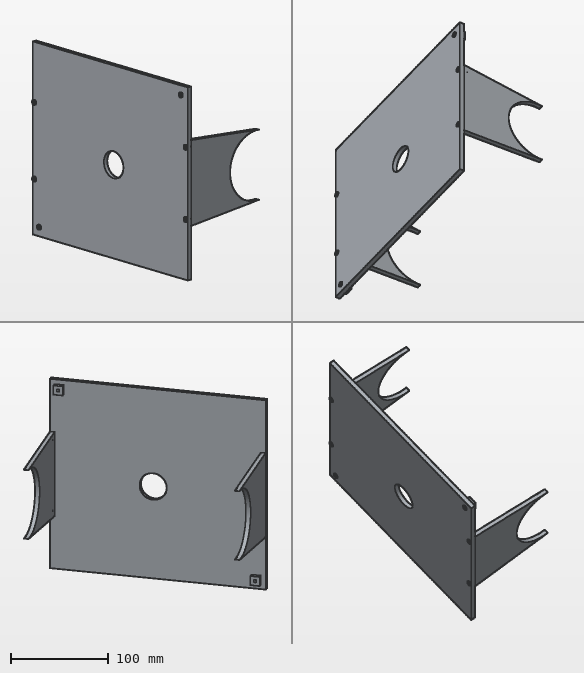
import cadquery as cq
import math

PLATE_WIDTH = 230.0
PLATE_HEIGHT = 206.0
SHEET = 5.0
WINDOW_DIAMETER = 28.8
WINDOW_X = 5.0
WINDOW_Z = -3.0

BLOCK_SIDE = 10.0
BLOCK_DEPTH = 4.8
BLOCK_X = PLATE_WIDTH / 2 - SHEET - BLOCK_SIDE / 2
BLOCK_Z = PLATE_HEIGHT / 2 - SHEET - BLOCK_SIDE / 2

HEAD_DIAMETER = 5.5
HEAD_HEIGHT = 0.8
SHANK_DIAMETER = 3.0
SHANK_LENGTH = SHEET + BLOCK_DEPTH
SOCKET_DIAMETER = 2.1
SOCKET_DEPTH = 1.0
EDGE_SCREW_X = PLATE_WIDTH / 2 - HEAD_DIAMETER / 2
UPPER_SCREW_Z = 38.6
LEFT_LOWER_SCREW_Z = -43.2
RIGHT_LOWER_SCREW_Z = -38.5

OVERALL_DEPTH = 101.7
WALL_REAR_Y = OVERALL_DEPTH - HEAD_HEIGHT
WALL_ROOT_HALF = 45.8
WALL_TIP_HALF = 37.5
CRADLE_RADIUS = 37.5
CRADLE_BOTTOM_Y = 60.0

BLOCK_PLACES = [(BLOCK_X, BLOCK_Z), (-BLOCK_X, -BLOCK_Z)]
LEFT_SCREW_PLACES = [(-EDGE_SCREW_X, UPPER_SCREW_Z), (-EDGE_SCREW_X, LEFT_LOWER_SCREW_Z)]
RIGHT_SCREW_PLACES = [(EDGE_SCREW_X, UPPER_SCREW_Z), (EDGE_SCREW_X, RIGHT_LOWER_SCREW_Z)]
SCREW_PLACES = BLOCK_PLACES + LEFT_SCREW_PLACES + RIGHT_SCREW_PLACES


def upright_plane(y):
    """Workplane at depth y: local axes along +X and +Z, positive extrusion towards -Y (forward)."""
    return cq.Workplane("XZ", origin=(0, y, 0))


def shank_holes(places):
    """Cylinders that clear the screw shanks, running rearward from the plate's front face."""
    return upright_plane(0).pushPoints(places).circle(SHANK_DIAMETER / 2).extrude(-SHANK_LENGTH)


def make_plate():
    """Plate with its round window, the two screw blocks and all the screw holes."""
    plate = upright_plane(0).rect(PLATE_WIDTH, PLATE_HEIGHT).extrude(-SHEET)
    window = upright_plane(0).center(WINDOW_X, WINDOW_Z).circle(WINDOW_DIAMETER / 2).extrude(-SHEET)
    blocks = upright_plane(SHEET).pushPoints(BLOCK_PLACES).rect(BLOCK_SIDE, BLOCK_SIDE).extrude(-BLOCK_DEPTH)
    return plate.cut(window).union(blocks).cut(shank_holes(SCREW_PLACES))


def make_wall(low_x, screw_places):
    """Side wall whose -X face lies at low_x, with blind screw holes in its front edge."""
    cradle_centre_y = CRADLE_BOTTOM_Y + CRADLE_RADIUS
    cradle_half = math.sqrt(CRADLE_RADIUS ** 2 - (WALL_REAR_Y - cradle_centre_y) ** 2)
    wall = (
        cq.Workplane("YZ", origin=(low_x, 0, 0))
        .moveTo(SHEET, -WALL_ROOT_HALF)
        .lineTo(WALL_REAR_Y, -WALL_TIP_HALF)
        .lineTo(WALL_REAR_Y, -cradle_half)
        .threePointArc((CRADLE_BOTTOM_Y, 0), (WALL_REAR_Y, cradle_half))
        .lineTo(WALL_REAR_Y, WALL_TIP_HALF)
        .lineTo(SHEET, WALL_ROOT_HALF)
        .close()
        .extrude(SHEET)
    )
    return wall.cut(shank_holes(screw_places))


def make_screw(x, z):
    """Screw with its head seated on the plate's front face."""
    head = upright_plane(0).circle(HEAD_DIAMETER / 2).extrude(HEAD_HEIGHT)
    shank = upright_plane(0).circle(SHANK_DIAMETER / 2).extrude(-SHANK_LENGTH)
    socket = upright_plane(-HEAD_HEIGHT).circle(SOCKET_DIAMETER / 2).extrude(-SOCKET_DEPTH)
    return head.union(shank).cut(socket).translate((x, 0, z))


plate = make_plate()
left_wall = make_wall(-PLATE_WIDTH / 2, LEFT_SCREW_PLACES)
right_wall = make_wall(PLATE_WIDTH / 2 - SHEET, RIGHT_SCREW_PLACES)
screws = [make_screw(x, z) for x, z in SCREW_PLACES]

bodies = [plate, left_wall, right_wall, *screws]
result = cq.Compound.makeCompound([body.solids().val() for body in bodies])